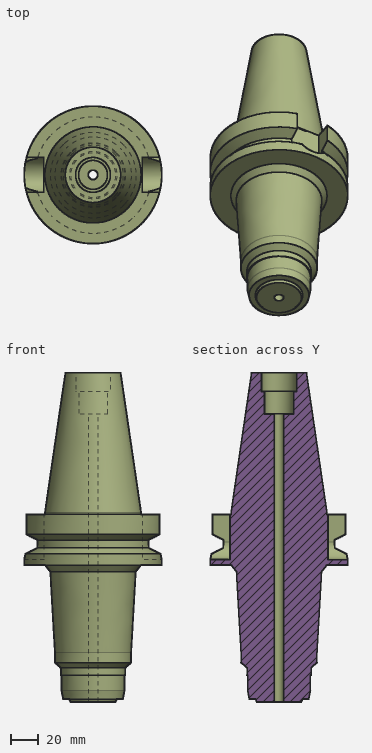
import cadquery as cq

total_height = 239.2
flange_bottom = 99.5
flange_top = 136.3

taper_large_radius = 35.0
taper_small_radius = 20.0
taper_collar_height = 1.7

flange_radius = 50.0
groove_floor_radius = 42.3
groove_lower_edge = 107.6
groove_floor_bottom = 112.0
groove_floor_top = 117.7
groove_upper_edge = 121.8

body_top_radius = 31.0
body_top = 94.7
body_bottom_radius = 27.7
body_taper_end = 36.0
body_bottom = 28.7
flange_blend_radius = 35.0

collar_radius = 23.5
collar_top = 24.9
collar_bottom = 19.5
nose_radius = 23.0
nose_taper_start = 8.5
nose_end_radius = 21.8
lip_height = 2.2
lip_top_radius = 17.2
lip_end_radius = 16.3

bore_radius = 12.7
bore_depth = 13.6
inner_bore_radius = 10.5
inner_bore_depth = 30.0
through_hole_radius = 3.3

slot_half_width = 12.7
slot_bottom = 103.5
slot_floor_distance = 35.6


def revolved_body():
    """Revolve the half outline (radius, height) about the Z axis."""
    outline = [
        (0, 0),
        (lip_end_radius, 0),
        (lip_top_radius, lip_height),
        (nose_end_radius, lip_height),
        (nose_radius, nose_taper_start),
        (nose_radius, collar_bottom),
        (collar_radius, collar_bottom),
        (collar_radius, collar_top),
        (body_bottom_radius, body_bottom),
        (body_bottom_radius, body_taper_end),
        (body_top_radius, body_top),
        (flange_blend_radius, flange_bottom),
        (flange_radius, flange_bottom),
        (flange_radius, groove_lower_edge),
        (groove_floor_radius, groove_floor_bottom),
        (groove_floor_radius, groove_floor_top),
        (flange_radius, groove_upper_edge),
        (flange_radius, flange_top),
        (taper_large_radius, flange_top),
        (taper_large_radius, flange_top + taper_collar_height),
        (taper_small_radius, total_height),
        (0, total_height),
    ]
    return cq.Workplane("XZ").polyline(outline).close().revolve(360, (0, 0, 0), (0, 1, 0))


def axial_hole(radius, depth):
    """Cylinder reaching down from the small end of the taper."""
    return cq.Workplane("XY").workplane(offset=total_height - depth).circle(radius).extrude(depth)


def drive_slot():
    """Round-bottomed cutter for the slot on the +X side."""
    arc_center = slot_bottom + slot_half_width
    return (
        cq.Workplane("YZ")
        .workplane(offset=slot_floor_distance)
        .moveTo(-slot_half_width, flange_top)
        .lineTo(-slot_half_width, arc_center)
        .threePointArc((0, slot_bottom), (slot_half_width, arc_center))
        .lineTo(slot_half_width, flange_top)
        .close()
        .extrude(flange_radius - slot_floor_distance)
    )


result = revolved_body()

for hole_radius, hole_depth in (
    (bore_radius, bore_depth),
    (inner_bore_radius, inner_bore_depth),
    (through_hole_radius, total_height),
):
    result = result.cut(axial_hole(hole_radius, hole_depth))

for slot_angle in (0, 180):
    result = result.cut(drive_slot().rotate((0, 0, 0), (0, 0, 1), slot_angle))